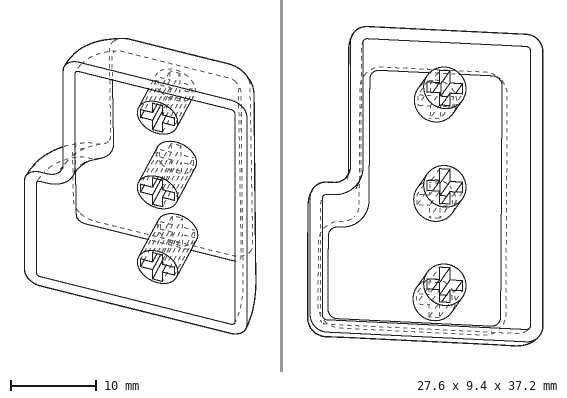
import cadquery as cq
import math

WIDTH = 27.6
HEIGHT = 37.15
NOTCH_WIDTH = 4.8
NOTCH_Z = 18.13

RIM_RADIUS = 2.0
CROWN_RADIUS = 2.65
NOTCH_RADIUS = 2.0
CROWN_DEPTH = 9.4
CROWN_TILT = 2.0
SIDE_INSET = 2.67
TOP_INSET = 2.53
BOTTOM_INSET = 3.15
NOTCH_INSET = 2.2

WALL = 1.5
INNER_RIM_RADIUS = 0.5
FLOOR_RADIUS = 1.1
FLOOR_NOTCH_RADIUS = 3.35
ROOF = WALL
FLOOR_SIDE_INSET = 2.08
FLOOR_TOP_INSET = 1.85
FLOOR_BOTTOM_INSET = 2.38
FLOOR_NOTCH_INSET = 1.82

FLANK_TURN = math.radians(32.0)
SECTIONS = 5

POST_DIAMETER = 5.0
POST_X = 16.15
POST_PITCH = 11.9
POST_COUNT = 3
POST_START = 1.0
CROSS_SPAN = 4.2
CROSS_ARM = 1.23


def outline(fraction, depth, wall, radii, notch_radii, insets):
    """L-shaped section of a skin, at a fraction of the flank's turn from rim (0) to crown (1)."""
    turn = fraction * FLANK_TURN
    rise = math.sin(turn) / math.sin(FLANK_TURN)
    lean = (1 - math.cos(turn)) / (1 - math.cos(FLANK_TURN))
    side, top, bottom, notch = [wall + lean * inset for inset in insets]
    radius = radii[0] + lean * (radii[1] - radii[0])
    notch_radius = notch_radii[0] + lean * (notch_radii[1] - notch_radii[0])
    tilt = math.radians(rise * CROWN_TILT)

    left = side
    step_x = NOTCH_WIDTH + side
    right = WIDTH - side
    step_z = NOTCH_Z - notch
    corners = [
        (left, bottom, radius),
        (right, bottom, radius),
        (right, HEIGHT - top, radius),
        (step_x, HEIGHT - top, radius),
        (step_x, step_z, notch_radius),
        (left, step_z, radius),
    ]

    def on_plane(x, z):
        return cq.Vector(x, rise * depth - (z - BOTTOM_INSET) * math.tan(tilt), z)

    edges = []
    previous_end = None
    first_start = None
    for index, (x, z, r) in enumerate(corners):
        before = corners[index - 1]
        after = corners[(index + 1) % len(corners)]
        in_x, in_z = direction(before, (x, z))
        out_x, out_z = direction((x, z), after)
        start = on_plane(x - r * in_x, z - r * in_z)
        end = on_plane(x + r * out_x, z + r * out_z)
        bulge = r * (1 - math.cos(math.pi / 4))
        middle = on_plane(x + bulge * (out_x - in_x), z + bulge * (out_z - in_z))
        if previous_end is None:
            first_start = start
        else:
            edges.append(cq.Edge.makeLine(previous_end, start))
        edges.append(cq.Edge.makeThreePointArc(start, middle, end))
        previous_end = end
    edges.append(cq.Edge.makeLine(previous_end, first_start))
    return cq.Wire.assembleEdges(edges)


def direction(start, end):
    """Unit direction from one point to another in the X-Z plane."""
    run = end[0] - start[0]
    climb = end[1] - start[1]
    length = math.hypot(run, climb)
    return run / length, climb / length


def bulged_block(depth, wall, radii, notch_radii, insets):
    """Solid with curved flanks, from the rim plane to a flat tilted end."""
    wires = [
        outline(i / (SECTIONS - 1), depth, wall, radii, notch_radii, insets)
        for i in range(SECTIONS)
    ]
    return cq.Workplane(obj=cq.Solid.makeLoft(wires))


cavity = bulged_block(
    CROWN_DEPTH - ROOF,
    WALL,
    (INNER_RIM_RADIUS, FLOOR_RADIUS),
    (NOTCH_RADIUS + WALL, FLOOR_NOTCH_RADIUS),
    (FLOOR_SIDE_INSET, FLOOR_TOP_INSET, FLOOR_BOTTOM_INSET, FLOOR_NOTCH_INSET),
)
cap = bulged_block(
    CROWN_DEPTH,
    0,
    (RIM_RADIUS, CROWN_RADIUS),
    (NOTCH_RADIUS, NOTCH_RADIUS),
    (SIDE_INSET, TOP_INSET, BOTTOM_INSET, NOTCH_INSET),
).cut(cavity)


def make_post(z):
    """Round post with a cross socket, ending on the tilted floor of the cavity."""
    end_plane = cq.Workplane("XZ", origin=(POST_X, POST_START, z))
    cross = (
        end_plane.rect(CROSS_SPAN, CROSS_ARM).extrude(-CROWN_DEPTH)
        .union(end_plane.rect(CROSS_ARM, CROSS_SPAN).extrude(-CROWN_DEPTH))
    )
    post = end_plane.circle(POST_DIAMETER / 2).extrude(-CROWN_DEPTH)
    return post.cut(cross).intersect(cavity)


posts = []
for i in range(POST_COUNT):
    offset = (i - (POST_COUNT - 1) / 2) * POST_PITCH
    posts.append(make_post(HEIGHT / 2 + offset))

result = cq.Compound.makeCompound([cap.val(), *[post.val() for post in posts]])